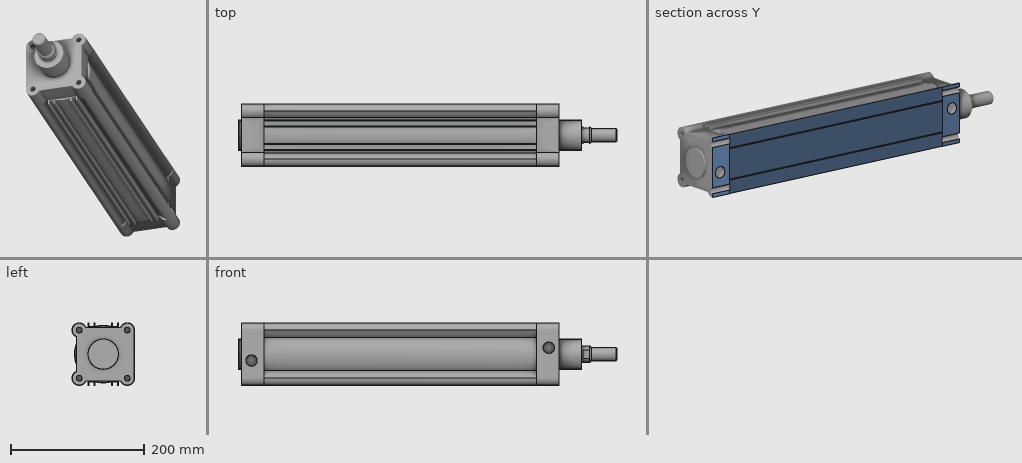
import cadquery as cq
import math

total_length = 568.0
rear_boss_length = 4.0
cap_length = 34.0
barrel_length = 409.0
front_boss_length = 34.0
overall_width = 94.0
half_width = overall_width / 2

rear_cap_start = rear_boss_length
barrel_start = rear_cap_start + cap_length
front_cap_start = barrel_start + barrel_length
front_cap_end = front_cap_start + cap_length
rod_start = front_cap_end + front_boss_length

lobe_radius = 11.0
lobe_offset = half_width - lobe_radius
recessed_face = 40.5
screw_hole_diameter = 8.5
boss_radius = 23.0
port_radius = 8.5
port_depth = 17.0
port_inset = 15.5
port_height = 9.5

barrel_radius = 43.0
rib_radius = lobe_radius
rib_offset = half_width - rib_radius
fin_thickness = 1.5
rail_middle = 17.5
rail_width = 11.0
rail_floor = 41.5
shoulder_height = 37.5
shoulder_edge = shoulder_height - rib_radius
rail_root = 28.5

rod_radius = 12.5
rod_shoulder_length = 12.0
rod_shoulder_taper = 3.0
flats_start = 1.5
flats_length = 10.0
flats_half_width = 11.0
thread_radius = 10.0
thread_chamfer = 1.5


def section_at(x):
    """Sketch plane across the cylinder axis: local x is Y, local y is Z."""
    return cq.Workplane("YZ", origin=(x, 0, 0))


def make_cap(start, boss_start, boss_length, port_x, port_z):
    """End cap with four lobes, screw holes, a round boss and an air port in its -Y face."""
    corners = [(y, z) for y in (-lobe_offset, lobe_offset) for z in (-lobe_offset, lobe_offset)]
    core = section_at(start).rect(2 * recessed_face, 2 * recessed_face).extrude(cap_length)
    lobes = section_at(start).pushPoints(corners).circle(lobe_radius).extrude(cap_length)
    port_wall = cq.Workplane("XY").box(
        cap_length, half_width, 2 * lobe_offset, centered=(False, False, True)
    ).translate((start, -half_width, 0))
    boss = section_at(boss_start).circle(boss_radius).extrude(boss_length)
    holes = section_at(start).pushPoints(corners).circle(screw_hole_diameter / 2).extrude(cap_length)
    port = (
        cq.Workplane("XZ", origin=(port_x, -half_width, port_z))
        .circle(port_radius)
        .extrude(-port_depth)
    )
    return core.union(lobes).union(port_wall).union(boss).cut(holes).cut(port)


def make_corner_rib():
    """Diagonal rib with 45 degree flanks and a rounded outer edge."""
    arc_middle = rib_offset + rib_radius * math.sqrt(0.5)
    return (
        section_at(barrel_start)
        .moveTo(0, rib_radius)
        .lineTo(rib_offset, half_width)
        .threePointArc((arc_middle, arc_middle), (half_width, rib_offset))
        .lineTo(rib_radius, 0)
        .lineTo(0, 0)
        .close()
        .extrude(barrel_length)
    )


def make_rail():
    """U-shaped sensor rail: a flat floor between two upright fins, on the +Y half of the top."""
    inner_face = rail_middle - rail_width / 2
    outer_face = rail_middle + rail_width / 2
    return (
        section_at(barrel_start)
        .moveTo(inner_face, rail_root)
        .lineTo(inner_face, half_width)
        .lineTo(inner_face + fin_thickness, half_width)
        .lineTo(inner_face + fin_thickness, rail_floor)
        .lineTo(outer_face - fin_thickness, rail_floor)
        .lineTo(outer_face - fin_thickness, half_width)
        .lineTo(outer_face, half_width)
        .lineTo(outer_face, shoulder_height)
        .lineTo(shoulder_edge, shoulder_height)
        .lineTo(shoulder_edge, rail_root)
        .close()
        .extrude(barrel_length)
    )


def make_barrel():
    """Round barrel with four corner ribs and two sensor rails on both the top and the bottom."""
    body = section_at(barrel_start).circle(barrel_radius).extrude(barrel_length)

    rib = make_corner_rib()
    for quarter in range(4):
        body = body.union(rib.rotate((0, 0, 0), (1, 0, 0), 90 * quarter))

    rail = make_rail()
    floor_gap = half_width - rail_floor
    for side in (-1, 1):
        relief = (
            section_at(barrel_start)
            .pushPoints([(side * rail_middle, level * (rail_floor + floor_gap / 2)) for level in (-1, 1)])
            .rect(rail_width, floor_gap)
            .extrude(barrel_length)
        )
        body = body.cut(relief)
    for half_rail in (rail, rail.mirror("XZ")):
        body = body.union(half_rail).union(half_rail.mirror("XY"))
    return body


def make_rod():
    """Rod end with two wrench flats, a tapered shoulder and a chamfered thread."""
    shoulder_end = rod_start + rod_shoulder_length
    rod = (
        cq.Workplane("XY")
        .moveTo(rod_start, 0)
        .lineTo(rod_start, rod_radius)
        .lineTo(shoulder_end, rod_radius)
        .lineTo(shoulder_end + rod_shoulder_taper, thread_radius)
        .lineTo(total_length - thread_chamfer, thread_radius)
        .lineTo(total_length, thread_radius - thread_chamfer)
        .lineTo(total_length, 0)
        .close()
        .revolve(360, (0, 0, 0), (1, 0, 0))
    )
    flat_depth = rod_radius - flats_half_width
    for side in (-1, 1):
        cutter = cq.Workplane("XY").box(flats_length, flat_depth, 2 * rod_radius)
        flat_x = rod_start + flats_start + flats_length / 2
        rod = rod.cut(cutter.translate((flat_x, side * (flats_half_width + flat_depth / 2), 0)))
    return rod


rear_cap = make_cap(
    rear_cap_start, 0, rear_boss_length, rear_cap_start + port_inset, -port_height
)
front_cap = make_cap(
    front_cap_start, front_cap_end, front_boss_length, front_cap_end - port_inset, port_height
)
barrel = make_barrel()
rod = make_rod()

result = cq.Compound.makeCompound([rear_cap.val(), front_cap.val(), barrel.val(), rod.val()])